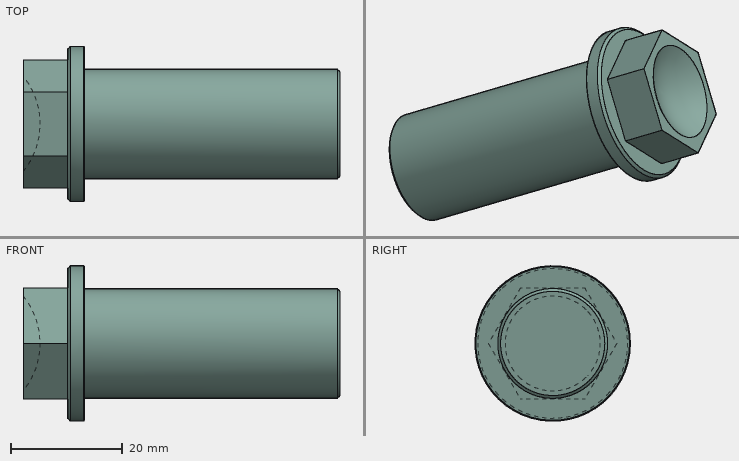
import cadquery as cq
import math

total_length = 57.0
head_length = 8.0
head_across_flats = 20.0
flange_diameter = 28.0
flange_thickness = 3.0
flange_front_chamfer = 0.5
flange_back_chamfer = 0.15
shank_diameter = 19.8
shank_chamfer = 0.5
dish_diameter = 17.1
dish_depth = 3.0

head_face = -total_length / 2
flange_front = head_face + head_length
flange_back = flange_front + flange_thickness
shank_length = total_length / 2 - flange_back

head_across_corners = 2 * head_across_flats / math.sqrt(3)


def plane_at(x):
    """Plane facing +X at the given place on the axis."""
    return cq.Workplane("YZ", origin=(x, 0, 0))


def make_head():
    """Hexagonal head with corners on the Y axis and flats facing up and down."""
    return plane_at(head_face).polygon(6, head_across_corners).extrude(head_length)


def make_flange():
    """Round flange with a wide chamfer towards the head and a fine one behind."""
    disc = plane_at(flange_front).circle(flange_diameter / 2).extrude(flange_thickness)
    disc = disc.faces("<X").chamfer(flange_front_chamfer)
    return disc.faces(">X").chamfer(flange_back_chamfer)


def make_shank():
    """Plain cylindrical shank with a chamfered free end."""
    shank = plane_at(flange_back).circle(shank_diameter / 2).extrude(shank_length)
    return shank.faces(">X").chamfer(shank_chamfer)


def make_dish():
    """Spherical cap that hollows a shallow bowl into the head face."""
    dish_radius = dish_diameter / 2
    sphere_radius = (dish_radius**2 + dish_depth**2) / (2 * dish_depth)
    deepest_point = head_face + dish_depth
    sphere_center = deepest_point - sphere_radius
    half_angle = math.asin(dish_radius / sphere_radius) / 2
    arc_middle = (
        sphere_center + sphere_radius * math.cos(half_angle),
        sphere_radius * math.sin(half_angle),
    )
    half_profile = (
        cq.Workplane("XY")
        .moveTo(head_face, 0)
        .lineTo(head_face, dish_radius)
        .threePointArc(arc_middle, (deepest_point, 0))
        .close()
    )
    return half_profile.revolve(360, (0, 0, 0), (1, 0, 0))


result = make_head().union(make_flange()).union(make_shank()).cut(make_dish())